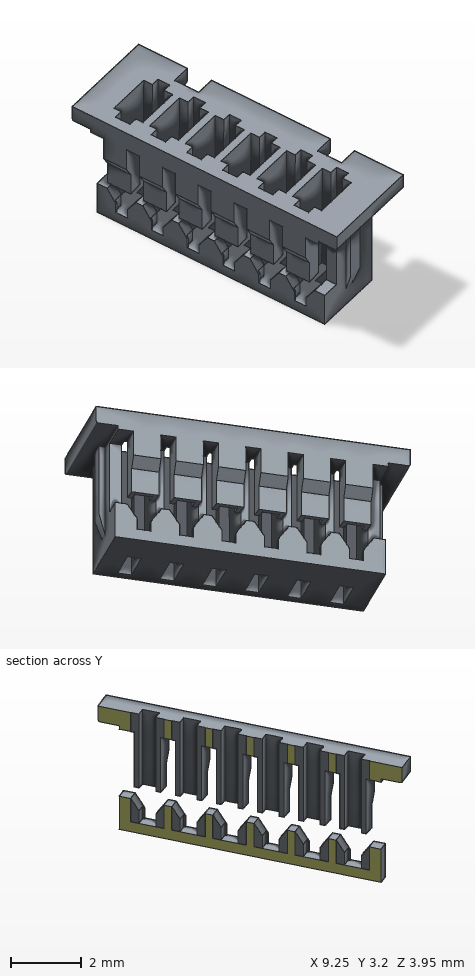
import cadquery as cq
length = 9.25
depth = 3.2
height = 3.95

contact_count = 6
pitch = 1.25

flange_thick = 0.53
flange_edge_radius = 0.065
flange_bottom = height - flange_thick
header_drop = 0.11
header_bottom = flange_bottom - header_drop

body_length = 7.955
body_front = 0.305
body_back = 2.58
front_wall_y = 0.87
sill_top = 1.11

cavity_width = 1.01
cavity_front = 0.64
cavity_back_top = 2.07
cavity_back_bottom = 2.035
cavity_floor = 0.34
nose_width = 0.51
nose_front = 0.36
pin_slot_width = 0.41
pin_slot_front = 1.33
pin_slot_back = 2.34

groove_width = 0.41
flare_bottom = 0.675

latch_width = 0.805
latch_back = 0.64
latch_nose = 0.19
latch_bottom_front = 1.46
latch_bottom_back = 1.51
latch_slope_top = 2.54
latch_slope_bottom = 2.21

rib_reach = 0.19
rib_front = 1.29
rib_back = 1.73
rib_root_front = 1.34
rib_root_back = 1.66
rib_slope_top = 1.21
rib_slope_bottom = 0.6

notch_center = 2 * pitch
notch_width = 0.84
wedge_width = 0.64
wedge_reach = 0.31
wedge_top = 1.5
wedge_bottom = 0.45

contact_positions = [(i - (contact_count - 1) / 2) * pitch for i in range(contact_count)]


def block(x_center, width, y_min, y_max, z_min, z_max):
    """Box centred on x_center, given by its width and its limits in y and z."""
    solid = cq.Workplane("XY").box(width, y_max - y_min, z_max - z_min, centered=(True, False, False))
    return solid.translate((x_center, y_min, z_min))


def side_profile(x_center, width, points):
    """Prism of the given width along x from an outline of (y, z) points."""
    return cq.Workplane("YZ").polyline(points).close().extrude(width / 2, both=True).translate((x_center, 0, 0))


def flange():
    """Top plate with its lower side and rear edges rounded."""
    plate = block(0, length, 0, depth, flange_bottom, height)
    return plate.edges("<Z").edges("<X or >X or >Y").fillet(flange_edge_radius)


def body():
    """Header, upright housing and the sill along the front."""
    outline = [
        (0, flange_bottom),
        (0, header_bottom),
        (front_wall_y, header_bottom),
        (front_wall_y, sill_top),
        (body_front, sill_top),
        (body_front, 0),
        (body_back, 0),
        (body_back, flange_bottom),
    ]
    return side_profile(0, body_length, outline)


def latch(x):
    """Hanging latch with a stepped-back lower end and a slightly tilted underside."""
    outline = [
        (0, header_bottom),
        (0, latch_slope_top),
        (latch_nose, latch_slope_bottom),
        (latch_nose, latch_bottom_front),
        (latch_back, latch_bottom_back),
        (latch_back, header_bottom),
    ]
    return side_profile(x, latch_width, outline)


def cavity(x):
    """Main pocket, nose groove through latch and sill, and pin slot through the bottom."""
    pocket_outline = [
        (cavity_front, cavity_floor),
        (cavity_back_bottom, cavity_floor),
        (cavity_back_top, height),
        (cavity_front, height),
    ]
    pocket = side_profile(x, cavity_width, pocket_outline)
    nose = block(x, nose_width, nose_front, cavity_front, cavity_floor, height)
    pin_slot = block(x, pin_slot_width, pin_slot_front, pin_slot_back, 0, height)
    return pocket.union(nose).union(pin_slot)


def sill_notch(x):
    """Straight groove with flared upper sides, cut through the sill into the cavity."""
    half_groove = groove_width / 2
    half_flare = cavity_width / 2
    outline = [
        (-half_groove, cavity_floor),
        (half_groove, cavity_floor),
        (half_groove, flare_bottom),
        (half_flare, sill_top),
        (-half_flare, sill_top),
        (-half_groove, flare_bottom),
    ]
    return cq.Workplane("XZ").polyline(outline).close().extrude(-cavity_front).translate((x, 0, 0))


def rib(side):
    """Dovetail guide rib on one end of the body; its lower end slopes back to the body face."""
    face_x = body_length / 2
    outer_x = face_x + rib_reach
    section = [
        (face_x, rib_root_front),
        (outer_x, rib_front),
        (outer_x, rib_back),
        (face_x, rib_root_back),
    ]
    elevation = [
        (face_x, flange_bottom),
        (outer_x, flange_bottom),
        (outer_x, rib_slope_top),
        (face_x, rib_slope_bottom),
    ]
    dovetail = cq.Workplane("XY").polyline(section).close().extrude(flange_bottom)
    envelope = cq.Workplane("XZ").polyline(elevation).close().extrude(-depth)
    shape = dovetail.intersect(envelope)
    return shape if side > 0 else shape.mirror("YZ")


def wedge(x):
    """Snap wedge on the rear face."""
    outline = [(body_back, wedge_bottom), (body_back + wedge_reach, wedge_top), (body_back, wedge_top)]
    return side_profile(x, wedge_width, outline)


result = flange().union(body())
for x in contact_positions:
    result = result.union(latch(x))
for x in contact_positions:
    result = result.cut(cavity(x)).cut(sill_notch(x))
for side in (-1, 1):
    result = result.union(rib(side))
    result = result.cut(block(side * notch_center, notch_width, body_back, depth, flange_bottom, height))
    result = result.union(wedge(side * notch_center))